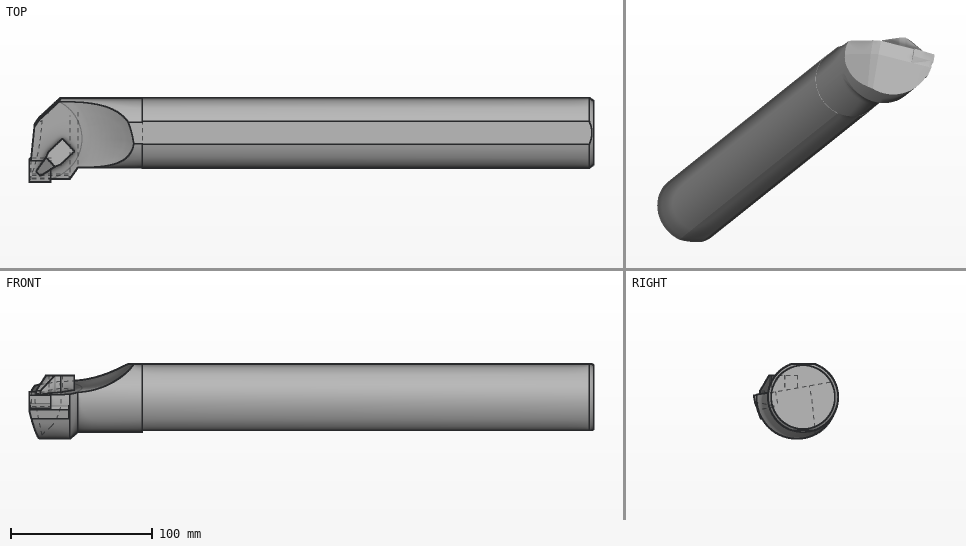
import cadquery as cq
import math

length = 400.0
shank_radius = 25.0
flat_height = 23.5
neck_end = 80.0
neck_radius = 24.8
end_chamfer_length = 3.0
end_chamfer_depth = 2.5

head_radius = 28.5
head_center_y = -4.5
head_center_z = -1.0
head_end = 28.8
neck_start = 34.5
flank_y = -32.5
flank_top_z = 2.5
flank_middle_z = -8.8
flank_foot_y = -30.0
flank_foot_z = -15.0
flank_end = 28.0

tilt = 10.0
rake_height = 7.4
land_depth = 10.5
head_relief = 12.0
dish_center_x = 7.0
dish_center_y = -4.0
dish_floor_radius = 30.0
scoop_radius = 48.0
clearance = 160.0

chamfer_back = (23.5, 24.8)
chamfer_front = (7.0, 9.0)
bevel_front = (3.75, 4.5)
nose_tip = (0.0, -32.8)

insert_length_x = 15.0
insert_length_y = 15.5
insert_thickness = land_depth
insert_land = 5.5
insert_relief = 14.0
insert_tip_y = -35.0

clamp_back_x = 27.8
clamp_back_y = -8.6
clamp_direction = 223.5
clamp_length = 29.5
clamp_parallel_length = 13.5
clamp_slope_start = 17.5
clamp_width = 12.5
clamp_slope_width = 9.0
clamp_tip_width = 4.5
clamp_top_z = 15.4
clamp_tip_z = 4.5


def place_on_rake(shape):
    """Move a shape from the rake frame to the part frame."""
    return shape.rotate((0, 0, 0), (1, 0, 0), tilt).translate((0, 0, rake_height))


def relieved_block(outline, land, total_depth, relief):
    """Block below the rake plane: straight sides first, then sides sloping inwards."""
    upper = cq.Workplane("XY").polyline(outline).close().extrude(-land)
    lower = (cq.Workplane("XY").workplane(offset=-land).polyline(outline).close()
             .extrude(-(total_depth - land), taper=relief))
    return upper.union(lower)


def make_shank():
    shank = cq.Workplane("YZ").workplane(offset=neck_end).circle(shank_radius).extrude(length - neck_end)
    chamfer_profile = [
        (length - end_chamfer_length, shank_radius),
        (length, shank_radius - end_chamfer_depth),
        (length, shank_radius),
    ]
    end_chamfer = (cq.Workplane("XY").polyline(chamfer_profile).close()
                   .revolve(360, (0, 0, 0), (1, 0, 0)))
    flats = cq.Workplane("XY").box(2 * length, clearance, 2 * flat_height)
    return shank.cut(end_chamfer).intersect(flats)


def make_neck():
    neck = (cq.Workplane("YZ").workplane(offset=neck_start)
            .circle(neck_radius).extrude(neck_end - neck_start))
    below_top_flat = cq.Workplane("XY").box(2 * length, clearance, clearance).translate(
        (0, 0, flat_height - clearance / 2))
    return neck.intersect(below_top_flat)


def make_head():
    barrel = (cq.Workplane("YZ").center(head_center_y, head_center_z)
              .circle(head_radius).extrude(head_end))
    core = cq.Workplane("YZ").circle(neck_radius).extrude(neck_start)
    transition = (cq.Workplane("YZ").workplane(offset=head_end)
                  .center(head_center_y, head_center_z).circle(head_radius)
                  .workplane(offset=neck_start - head_end)
                  .center(-head_center_y, -head_center_z).circle(neck_radius)
                  .loft(ruled=True))
    flank = (cq.Workplane("YZ")
             .polyline([(0, flank_top_z), (flank_y, flank_top_z), (flank_y, flank_middle_z),
                        (flank_foot_y, flank_foot_z), (0, flank_foot_z)])
             .close().extrude(flank_end))
    return barrel.union(core).union(transition).union(flank)


def make_nose_envelope():
    """Everything behind the front, bevel and chamfer faces; the other sides lie far outside."""
    front_slope = (nose_tip[0] - bevel_front[0]) / (nose_tip[1] - bevel_front[1])
    chamfer_slope = (chamfer_back[0] - chamfer_front[0]) / (chamfer_back[1] - chamfer_front[1])
    front_far_x = bevel_front[0] + front_slope * (-clearance - bevel_front[1])
    chamfer_far_x = chamfer_front[0] + chamfer_slope * (clearance - chamfer_front[1])
    outline = [
        (front_far_x, -clearance),
        bevel_front,
        chamfer_front,
        (chamfer_far_x, clearance),
        (2 * length, clearance),
        (2 * length, -clearance),
    ]
    block = relieved_block(outline, land_depth, clearance / 2, head_relief)
    above = cq.Workplane("XY").polyline(outline).close().extrude(clearance / 2)
    return place_on_rake(block.union(above))


def make_scoop():
    """Space above the rake face: a flat front part and a round dish running out into the neck."""
    rim_radius = dish_floor_radius + scoop_radius
    dish = (cq.Workplane("XZ")
            .lineTo(dish_floor_radius, 0)
            .radiusArc((rim_radius, scoop_radius), -scoop_radius)
            .lineTo(0, scoop_radius).close()
            .revolve(360, (0, 0, 0), (0, 1, 0))
            .translate((dish_center_x, dish_center_y, 0)))
    front = (cq.Workplane("XY").box(clearance, 2 * clearance, scoop_radius, centered=(False, True, False))
             .translate((dish_center_x - clearance, 0, 0)))
    return place_on_rake(dish.union(front))


def make_insert():
    tip_y = insert_tip_y / math.cos(math.radians(tilt))
    outline = [(0, tip_y), (clearance, tip_y), (clearance, clearance), (0, clearance)]
    relieved = relieved_block(outline, insert_land, insert_thickness, insert_relief)
    plate = (cq.Workplane("XY").box(insert_length_x, insert_length_y, insert_thickness, centered=False)
             .translate((0, tip_y, -insert_thickness)))
    return place_on_rake(relieved.intersect(plate))


def make_clamp():
    """Finger along +X in its own frame, turned to point at the cutting corner."""
    outline = [
        (0, clamp_width / 2),
        (clamp_parallel_length, clamp_width / 2),
        (clamp_slope_start, clamp_slope_width / 2),
        (clamp_length, clamp_tip_width / 2),
        (clamp_length, -clamp_tip_width / 2),
        (clamp_slope_start, -clamp_slope_width / 2),
        (clamp_parallel_length, -clamp_width / 2),
        (0, -clamp_width / 2),
    ]
    finger = cq.Workplane("XY").polyline(outline).close().extrude(clamp_top_z)
    side_profile = (cq.Workplane("XZ")
                    .polyline([(0, 0), (0, clamp_top_z), (clamp_slope_start, clamp_top_z),
                               (clamp_length, clamp_tip_z), (clamp_length, 0)])
                    .close().extrude(clamp_width, both=True))
    finger = finger.intersect(side_profile)
    turned = finger.rotate((0, 0, 0), (0, 0, 1), clamp_direction)
    return turned.translate((clamp_back_x, clamp_back_y, 0))


def make_holder(insert):
    front = make_head().union(make_neck()).intersect(make_nose_envelope()).cut(make_scoop())
    return front.union(make_shank()).union(make_clamp()).cut(insert)


cutting_insert = make_insert()
holder = make_holder(cutting_insert)
result = cq.Compound.makeCompound([holder.val(), cutting_insert.val()])